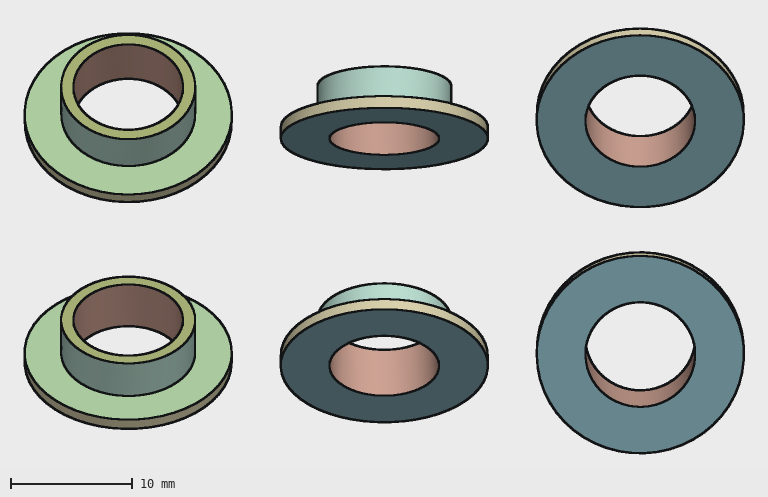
import cadquery as cq

flange_diameter = 17.0
flange_thickness = 1.0
sleeve_diameter = 11.0
bore_diameter = 9.0
total_height = 4.5

flange = cq.Workplane("XY").circle(flange_diameter / 2).extrude(flange_thickness)

sleeve = cq.Workplane("XY").circle(sleeve_diameter / 2).extrude(total_height)

bore = cq.Workplane("XY").circle(bore_diameter / 2).extrude(total_height)

result = flange.union(sleeve).cut(bore)